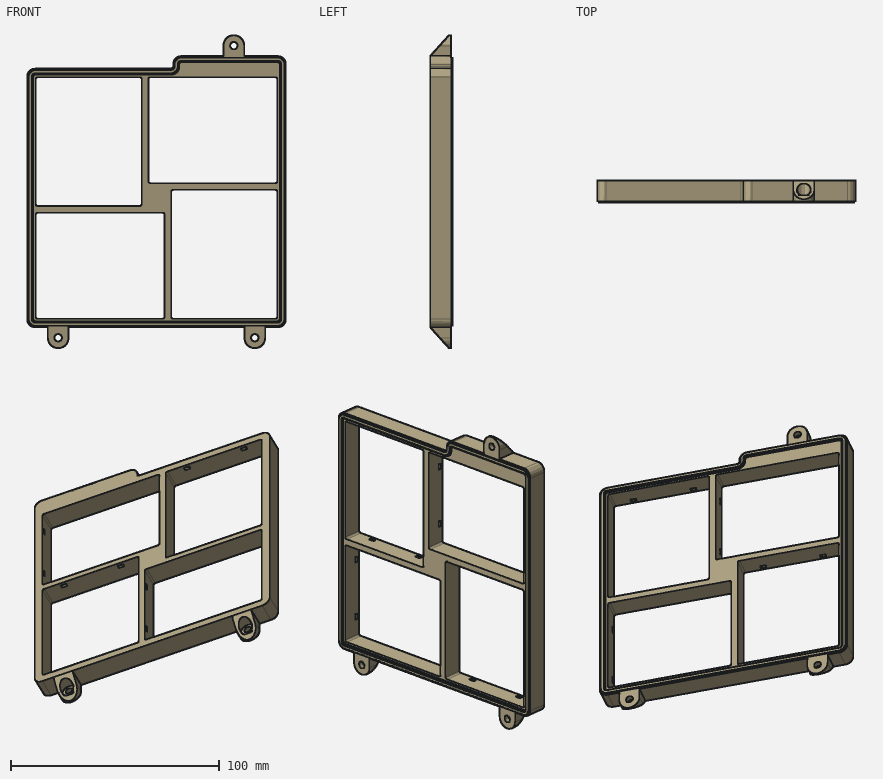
import cadquery as cq
frame_width = 124.0
frame_height = 130.0
full_height = 150.0
body_depth = 10.0
ridge_height = 0.8

front_y = (ridge_height - body_depth) / 2
back_y = front_y + body_depth
right_x = frame_width / 2
left_x = -right_x
top_z = frame_height / 2
bottom_z = -top_z

shoulder_z = bottom_z + frame_width
step_x = 8.0
corner_radius = 4.0
step_root_radius = 1.0

ridge_outer_inset = 0.8
ridge_inner_inset = 2.2
groove_inner_inset = 3.0
groove_depth = 0.2

window_margin = 4.2
window_long = 61.6
window_short = 50.7
window_radius = 0.9

notch_spacing = 30.0
notch_length = 2.7
notch_width = 1.5
notch_depth = 0.8
notch_from_back = 2.1

tab_width = 10.0
tab_reach = (full_height - frame_height) / 2
tab_tip_thickness = 1.0
tab_root = 1.5
screw_diameter = 3.5
head_diameter = 6.6
head_seat_thickness = 3.0
top_tab_x = 37.0
bottom_tab_x = 47.1


def outline_prism(inset, y_start, y_end):
    """Stepped frame outline moved inward by inset, filled between two Y levels."""
    left = left_x + inset
    right = right_x - inset
    bottom = bottom_z + inset
    top = top_z - inset
    shoulder = shoulder_z - inset
    step = step_x + inset
    corner = corner_radius - inset
    root = step_root_radius + inset
    return (
        cq.Workplane("XZ", origin=(0, y_start, 0))
        .moveTo(left + corner, bottom)
        .lineTo(right - corner, bottom)
        .radiusArc((right, bottom + corner), -corner)
        .lineTo(right, top - corner)
        .radiusArc((right - corner, top), -corner)
        .lineTo(step + corner, top)
        .radiusArc((step, top - corner), -corner)
        .lineTo(step, shoulder + root)
        .radiusArc((step - root, shoulder), root)
        .lineTo(left + corner, shoulder)
        .radiusArc((left, shoulder - corner), -corner)
        .lineTo(left, bottom + corner)
        .radiusArc((left + corner, bottom), -corner)
        .close()
        .extrude(y_start - y_end)
    )


def band(outer_inset, inner_inset, y_start, y_end):
    """Closed strip that follows the frame outline between two insets."""
    outer = outline_prism(outer_inset, y_start, y_end)
    return outer.cut(outline_prism(inner_inset, y_start, y_end))


def tab(x, edge_z, direction):
    """Rounded tab on a frame edge; its back slopes down to a thin tip."""
    half = tab_width / 2
    root_z = edge_z - direction * tab_root
    tip_z = edge_z + direction * tab_reach
    round_z = tip_z - direction * half
    wedge = (
        cq.Workplane("YZ", origin=(x - half, 0, 0))
        .moveTo(front_y, root_z)
        .lineTo(back_y, root_z)
        .lineTo(back_y, edge_z)
        .lineTo(front_y + tab_tip_thickness, tip_z)
        .lineTo(front_y, tip_z)
        .close()
        .extrude(tab_width)
    )
    rounded = (
        cq.Workplane("XZ", origin=(x, back_y, 0))
        .moveTo(-half, root_z)
        .lineTo(-half, round_z)
        .threePointArc((0, tip_z), (half, round_z))
        .lineTo(half, root_z)
        .close()
        .extrude(body_depth)
    )
    return wedge.intersect(rounded)


def tab_hole(x, edge_z, direction):
    """Through hole of a tab, counterbored from the back for the screw head."""
    hole_z = edge_z + direction * (tab_reach - tab_width / 2)
    plane = cq.Workplane("XZ", origin=(x, back_y, hole_z))
    screw = plane.circle(screw_diameter / 2).extrude(body_depth)
    head = plane.circle(head_diameter / 2).extrude(body_depth - head_seat_thickness)
    return screw.union(head)


def window(x, z, width, height):
    """Rounded rectangular opening through the body."""
    opening = cq.Workplane("XZ", origin=(x, back_y, z)).rect(width, height).extrude(body_depth)
    return opening.edges("|Y").fillet(window_radius)


def window_notches(x, z, width, height):
    """Two V-shaped notches in each of the two short walls of a window."""
    middle_y = back_y - notch_from_back
    wall = window_long / 2
    notch = (
        cq.Workplane("YZ")
        .moveTo(middle_y - notch_width / 2, wall)
        .lineTo(middle_y, wall + notch_depth)
        .lineTo(middle_y + notch_width / 2, wall)
        .close()
        .extrude(notch_length / 2, both=True)
    )
    upper_pair = notch.translate((-notch_spacing / 2, 0, 0)).add(notch.translate((notch_spacing / 2, 0, 0)))
    lower_pair = upper_pair.rotate((0, 0, 0), (0, 1, 0), 180)
    notches = upper_pair.add(lower_pair).combine()
    if width > height:
        notches = notches.rotate((0, 0, 0), (0, 1, 0), 90)
    return notches.translate((x, 0, z))


field_left = left_x + window_margin
field_right = right_x - window_margin
field_bottom = bottom_z + window_margin
field_top = shoulder_z - window_margin
half_long = window_long / 2
half_short = window_short / 2
windows = [
    (field_left + half_short, field_top - half_long, window_short, window_long),
    (field_right - half_long, field_top - half_short, window_long, window_short),
    (field_right - half_short, field_bottom + half_long, window_short, window_long),
    (field_left + half_long, field_bottom + half_short, window_long, window_short),
]

tabs = [
    (top_tab_x, top_z, 1),
    (bottom_tab_x, bottom_z, -1),
    (-bottom_tab_x, bottom_z, -1),
]

result = outline_prism(0, front_y, back_y)
result = result.union(band(ridge_outer_inset, ridge_inner_inset, front_y - ridge_height, front_y))
result = result.cut(band(ridge_inner_inset, groove_inner_inset, front_y, front_y + groove_depth))
for tab_place in tabs:
    result = result.union(tab(*tab_place)).cut(tab_hole(*tab_place))
for window_place in windows:
    result = result.cut(window(*window_place)).cut(window_notches(*window_place))